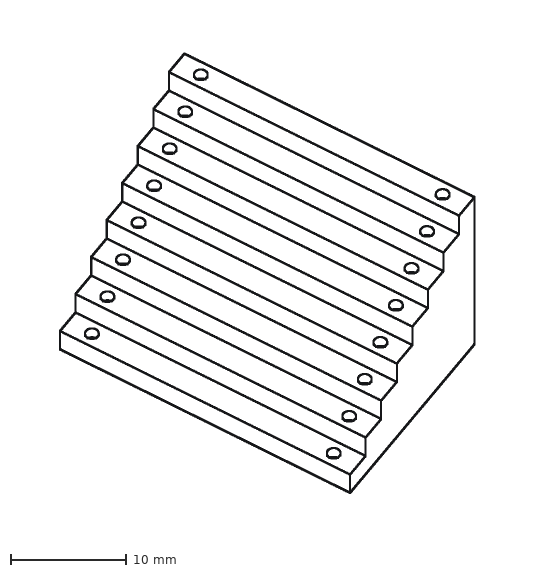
import cadquery as cq

width = 30.0
depth = width * 2 / 3
height = depth
step_count = 8
tread = depth / step_count
rise = height / step_count

hole_diameter = 1.2
hole_depth = 1.2
hole_end_inset = tread


def make_stairs():
    """Extrude the stepped side outline across the full width."""
    outline = [(0, 0)]
    for step in range(step_count):
        outline.append((step * tread, (step + 1) * rise))
        outline.append(((step + 1) * tread, (step + 1) * rise))
    outline.append((depth, 0))
    return cq.Workplane("YZ").polyline(outline).close().extrude(width)


def make_tread_holes(step):
    """Cutters for the two holes sunk into the middle of one tread."""
    tread_top = (step + 1) * rise
    hole_y = (step + 0.5) * tread
    return (
        cq.Workplane("XY", origin=(0, 0, tread_top))
        .pushPoints([(hole_end_inset, hole_y), (width - hole_end_inset, hole_y)])
        .circle(hole_diameter / 2)
        .extrude(-hole_depth)
    )


result = make_stairs()
for step_index in range(step_count):
    result = result.cut(make_tread_holes(step_index))